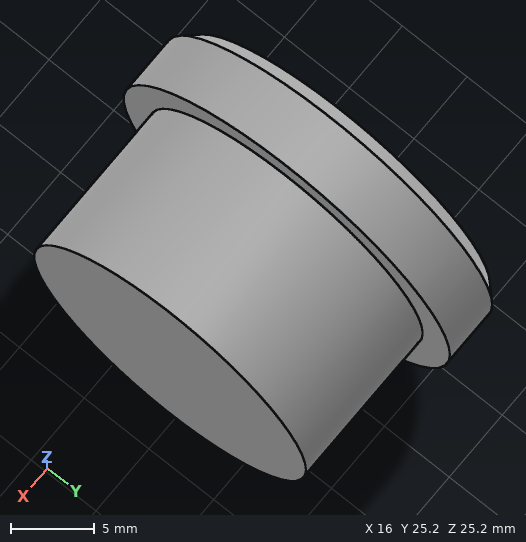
import cadquery as cq

total_length = 16.0
head_diameter = 25.2
head_thickness = 5.0
head_chamfer = 1.0
shank_diameter = 21.0
shank_length = total_length - head_thickness


def make_head():
    """Disc starting at X = 0, chamfered around its outer face."""
    disc = cq.Workplane("YZ").circle(head_diameter / 2).extrude(head_thickness)
    return disc.faces("<X").edges().chamfer(head_chamfer)


def add_shank(head):
    """Solid cylinder standing on the inner face of the head."""
    return head.faces(">X").workplane().circle(shank_diameter / 2).extrude(shank_length)


result = add_shank(make_head())